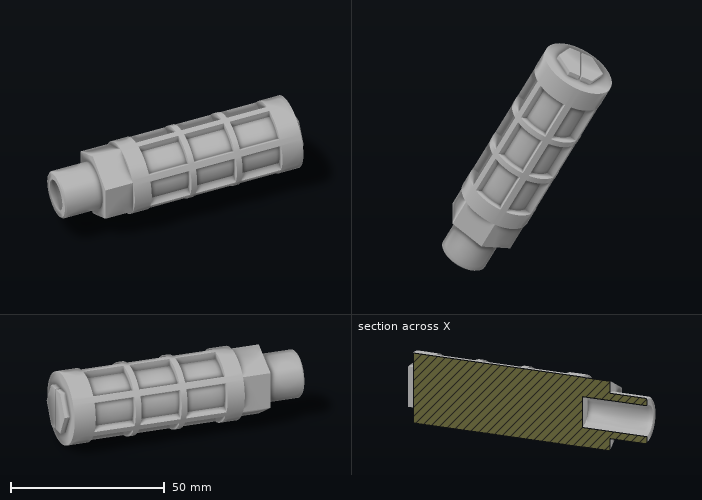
import cadquery as cq
import math


total_length = 83.8
stem_length = 13.0
nut_length = 9.6
collar_length = 5.95
window_length = 14.0
ring_length = 2.0
drive_height = 1.85

body_diameter = 24.5
core_diameter = 19.5
stem_diameter = 15.9
stem_chamfer = 0.5
bore_diameter = 10.6
nut_across_flats = 21.0
drive_across_flats = 14.0
drive_slot_width = 0.75

window_rows = 3
rib_count = 6
rib_width = 2.2

overshoot = 0.8

nut_end = stem_length + nut_length
bore_depth = nut_end
window_start = nut_end + collar_length
window_pitch = window_length + ring_length
drive_start = total_length - drive_height


def section(start):
    """Workplane across Y at the given place: local x is Z, local y is X, extrusions run toward +Y."""
    return cq.Workplane(cq.Plane(origin=(0, start, 0), xDir=(0, 0, 1), normal=(0, 1, 0)))


def spin(shape, angle):
    """Turn a shape about the part's Y axis."""
    return shape.rotate((0, 0, 0), (0, 1, 0), angle)


def cylinder(diameter, start, length):
    return section(start).circle(diameter / 2).extrude(length)


def hexagon(across_flats, start, length):
    """Hexagonal prism with two of its corners pointing along Z."""
    across_corners = across_flats / math.cos(math.pi / 6)
    return section(start).polygon(6, across_corners).extrude(length)


def window_row_cutter(start):
    """Ring of material around the core, less the ribs that stay between the windows."""
    outer_radius = body_diameter / 2 + overshoot
    cutter = section(start).circle(outer_radius).circle(core_diameter / 2).extrude(window_length)
    rib = section(start).rect(outer_radius + overshoot, rib_width, centered=(False, True)).extrude(window_length)
    for i in range(rib_count):
        cutter = cutter.cut(spin(rib, i * 360 / rib_count))
    return cutter


def make_stem():
    return cylinder(stem_diameter, 0, stem_length).faces("<Y").chamfer(stem_chamfer)


def make_cage():
    cage = cylinder(body_diameter, nut_end, drive_start - nut_end)
    for row in range(window_rows):
        cage = cage.cut(window_row_cutter(window_start + row * window_pitch))
    return cage


def make_drive():
    """Hexagon with two corners along X, split by a slot along Z down to the cage end."""
    drive = spin(hexagon(drive_across_flats, drive_start, drive_height), 90)
    slot_length = drive_across_flats + 2 * overshoot
    slot = section(drive_start).rect(slot_length, drive_slot_width).extrude(drive_height + overshoot)
    return drive.cut(slot)


nut = hexagon(nut_across_flats, stem_length, nut_length)
bore = cylinder(bore_diameter, 0, bore_depth)

result = make_stem().union(nut).union(make_cage()).union(make_drive()).cut(bore)